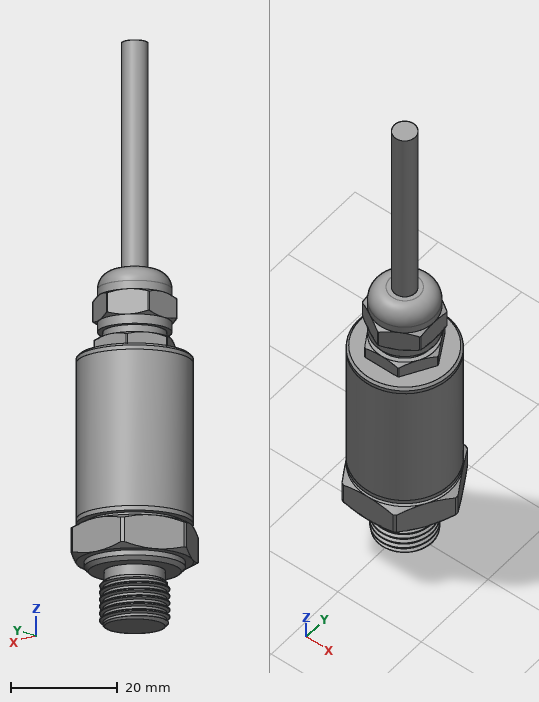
import cadquery as cq
import math


total_height = 112.7
housing_diameter = 22.0

thread_diameter = 13.157
thread_pitch = 1.337
thread_depth = 0.6
thread_crest_flat = thread_pitch / 6
thread_flank_angle = 55.0
thread_length = 8.6
thread_end_chamfer = 0.9
thread_top_chamfer = 0.8
thread_turn = 180.0
groove_turn = 90.0
groove_overcut = 0.15
relief_diameter = 11.5
collar_diameter = 19.0
collar_bottom = 10.6
collar_chamfer = 0.8
connector_hex_bottom = 12.4
connector_hex_height = 6.5
connector_hex_corner_diameter = 25.0
connector_hex_top = connector_hex_bottom + connector_hex_height
lip_bottom = 19.7
lip_thickness = 0.9

tube_bottom = lip_bottom + lip_thickness
tube_top = 50.8
cap_top = 52.1
cap_chamfer = 0.5

gland_hex_flats = 14.0
gland_hex_corner_diameter = 16.0
gland_hex_height = 3.1
gland_neck_diameter = 12.0
gland_neck_height = 1.6
nut_diameter = gland_hex_flats
nut_skirt_height = 1.8
nut_hex_height = 4.9
nut_collar_height = 1.6
dome_radius = 3.5
gland_hex_top = cap_top + gland_hex_height
nut_bottom = gland_hex_top + gland_neck_height
nut_hex_bottom = nut_bottom + nut_skirt_height
nut_hex_top = nut_hex_bottom + nut_hex_height
gland_top = nut_hex_top + nut_collar_height + dome_radius

cable_diameter = 5.0

hex_bevel_angle = 30.0
half_hex_step = 180.0 / 6


def disc(diameter, bottom, top):
    """Cylinder on the Z axis between two heights."""
    return cq.Workplane("XY").workplane(offset=bottom).circle(diameter / 2).extrude(top - bottom)


def hexagon(flats, corner_diameter, bottom, top, turn=0.0, bevel_bottom=True):
    """Hexagonal prism with turned corners, bevelled down to the flats at its ends."""
    prism = (
        cq.Workplane("XY")
        .workplane(offset=bottom)
        .polygon(6, flats / math.cos(math.radians(half_hex_step)))
        .extrude(top - bottom)
        .rotate((0, 0, 0), (0, 0, 1), turn)
    )
    bevel_width = (corner_diameter - flats) / 2
    bevel_height = bevel_width * math.tan(math.radians(hex_bevel_angle))
    envelope = disc(corner_diameter, bottom, top)
    bevelled_ends = "<Z or >Z" if bevel_bottom else ">Z"
    envelope = envelope.faces(bevelled_ends).chamfer(bevel_height, bevel_width)
    return prism.intersect(envelope)


def thread_groove():
    """V-shaped helical cutter that runs past both ends of the thread."""
    root_radius = thread_diameter / 2 - thread_depth
    outer_radius = thread_diameter / 2 + groove_overcut
    flank_slope = math.tan(math.radians(thread_flank_angle / 2))
    crest_half = (thread_pitch - thread_crest_flat) / 2
    root_half = crest_half - thread_depth * flank_slope
    outer_half = crest_half + groove_overcut * flank_slope
    start = -thread_pitch
    helix = cq.Wire.makeHelix(
        thread_pitch, thread_length + 2 * thread_pitch, root_radius, center=cq.Vector(0, 0, start)
    )
    return (
        cq.Workplane("XZ")
        .polyline([
            (root_radius, start - root_half),
            (outer_radius, start - outer_half),
            (outer_radius, start + outer_half),
            (root_radius, start + root_half),
        ])
        .close()
        .sweep(cq.Workplane(obj=helix), isFrenet=True)
    )


def make_thread():
    radius = thread_diameter / 2
    blank = (
        cq.Workplane("XZ")
        .polyline([
            (0, 0),
            (radius - thread_end_chamfer, 0),
            (radius, thread_end_chamfer),
            (radius, thread_length - thread_top_chamfer),
            (radius - thread_top_chamfer, thread_length),
            (0, thread_length),
        ])
        .close()
        .revolve(360, (0, 0), (0, 1))
    )
    groove = thread_groove().rotate((0, 0, 0), (0, 0, 1), groove_turn)
    return blank.cut(groove).rotate((0, 0, 0), (0, 0, 1), thread_turn)


def make_connector():
    relief = disc(relief_diameter, thread_length, collar_bottom)
    collar = disc(collar_diameter, collar_bottom, lip_bottom).faces("<Z").chamfer(collar_chamfer)
    nut = hexagon(
        housing_diameter, connector_hex_corner_diameter, connector_hex_bottom, connector_hex_top
    )
    lip = disc(housing_diameter, lip_bottom, tube_bottom)
    return make_thread().union(relief).union(collar).union(nut).union(lip)


def make_tube():
    return disc(housing_diameter, tube_bottom, tube_top)


def make_cap():
    return disc(housing_diameter, tube_top, cap_top).faces(">Z").chamfer(cap_chamfer)


def make_gland():
    base_hex = hexagon(
        gland_hex_flats, gland_hex_corner_diameter, cap_top, gland_hex_top, bevel_bottom=False
    )
    neck = disc(gland_neck_diameter, gland_hex_top, nut_bottom)
    nut = disc(nut_diameter, nut_bottom, gland_top).faces(">Z").edges().fillet(dome_radius)
    nut_hex = hexagon(
        gland_hex_flats, gland_hex_corner_diameter, nut_hex_bottom, nut_hex_top, turn=half_hex_step
    )
    return base_hex.union(neck).union(nut).union(nut_hex)


def make_cable():
    return disc(cable_diameter, gland_top, total_height)


connector = make_connector()
tube = make_tube()
cap = make_cap()
gland = make_gland()
cable = make_cable()

result = cq.Compound.makeCompound(
    [connector.val(), tube.val(), cap.val(), gland.val(), cable.val()]
)